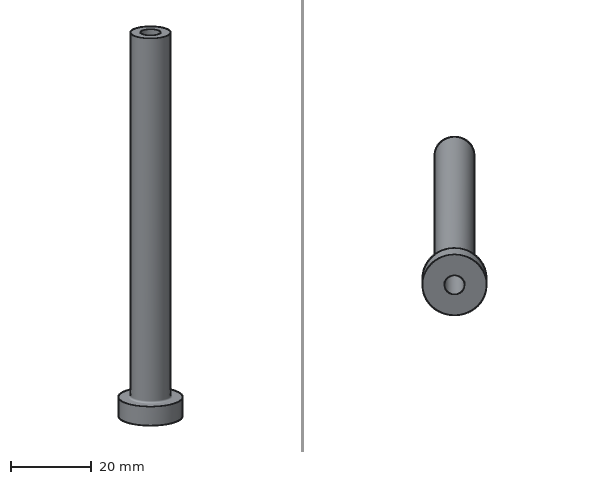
import cadquery as cq

total_length = 100.0
head_diameter = 16.0
head_height = 5.0
shank_diameter = 10.0
bore_diameter = 5.0
neck_fillet_radius = 0.5


def cylinder(diameter, height):
    """Upright cylinder on the Z axis with its base on Z = 0."""
    return cq.Workplane("XY").circle(diameter / 2).extrude(height)


def sleeve_blank():
    """Solid shank standing on a wider flat head."""
    head = cylinder(head_diameter, head_height)
    shank = cylinder(shank_diameter, total_length)
    return head.union(shank)


def fillet_neck(body):
    """Round the inner corner where the shank meets the top of the head."""
    head_top = body.faces("|Z").faces(">Z[-2]")
    smallest_circle = cq.selectors.RadiusNthSelector(0)
    return head_top.edges(smallest_circle).fillet(neck_fillet_radius)


def bore_through(body):
    """Cut the axial bore along the full length."""
    return body.cut(cylinder(bore_diameter, total_length))


result = bore_through(fillet_neck(sleeve_blank()))